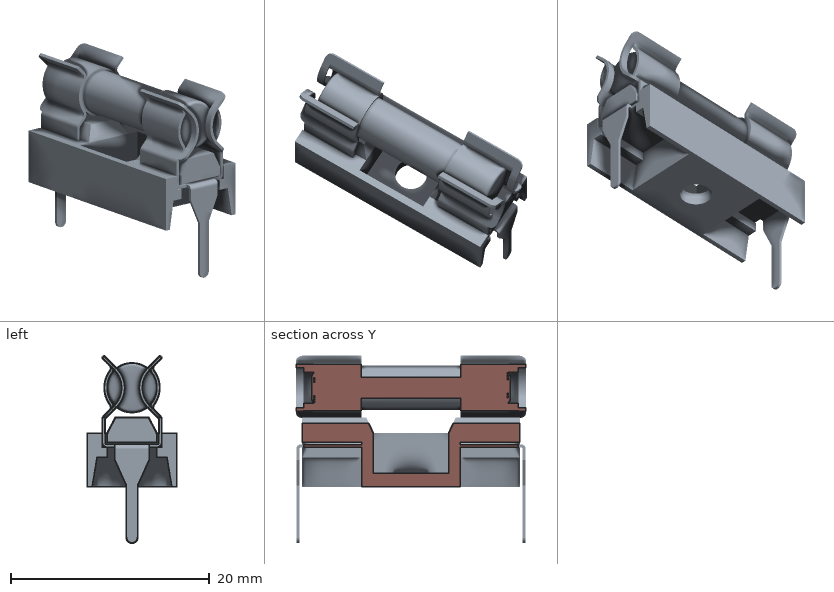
import cadquery as cq
import math

overall_length = 23.15

base_length = 21.9
base_width = 9.0
base_height = 5.42
pocket_side = 7.53
pocket_floor = 1.4
floor_hole_diameter = 3.2

seat_top = 7.0
seat_width = 5.0
seat_top_width = 3.35
seat_slope_run = 0.75
seat_underside = 4.5

recess_height = 2.96
recess_top_width = 7.05
recess_bottom_width = 8.01

fuse_axis_height = 9.98
fuse_length = 20.0
cap_diameter = 5.0
cap_length = 5.0
cap_edge_radius = 0.3
glass_diameter = 4.5

sheet = 0.3
clip_half_width = 3.0
clip_plate_bottom = 3.98
clip_plate_bend = 0.5
clip_wall_bend = 0.55
clip_neck_radius = 0.46
stop_width = 0.76
stop_corner_radius = 0.75
stop_bow_radius = 2.52

leg_outer_x = 11.53
leg_bend_radius = 0.46
leg_wide = 3.47
leg_narrow = 1.15
leg_taper_top = 2.73
leg_taper_bottom = 0.16
leg_drop = 5.65

base_end = base_length / 2
pocket_end = pocket_side / 2
cap_start = fuse_length / 2 - cap_length
clip_start = cap_start
clip_plate_top = clip_plate_bottom + sheet
clip_end = overall_length / 2 - stop_width
cap_radius = cap_diameter / 2
arm_angle = 45
diagonal = math.cos(math.radians(arm_angle))
sheet_step = sheet * diagonal
arm_length = clip_half_width / diagonal


def extrude_x(profile, start, end):
    """Extrude a YZ profile drawn at X = 0 so that it spans start to end."""
    return profile.extrude(end - start).translate((start, 0, 0))


def box_between(x_range, y_width, z_range):
    """Box centred on Y = 0 between the given X and Z limits."""
    size = (x_range[1] - x_range[0], y_width, z_range[1] - z_range[0])
    centre = (sum(x_range) / 2, 0, sum(z_range) / 2)
    return cq.Workplane("XY").box(*size).translate(centre)


def both_sides(solid, plane):
    """Join a solid with its mirror image."""
    return solid.union(solid.mirror(plane))


def around_fuse(radius, angle):
    """Y, Z point at a radius and an angle in degrees about the fuse axis."""
    turn = math.radians(angle)
    return radius * math.cos(turn), fuse_axis_height + radius * math.sin(turn)


def arm_point(distance, side, inner=False):
    """Point on a 45 degree clip arm; side is 1 above the fuse axis, -1 below it."""
    step = sheet_step if inner else 0
    return distance * diagonal - step, fuse_axis_height + side * (distance * diagonal + step)


def round_corner(path, before, corner, after, radius):
    """Run the path to a corner between two points and round it with an arc."""
    here = cq.Vector(*corner)
    back = (cq.Vector(*before) - here).normalized()
    ahead = (cq.Vector(*after) - here).normalized()
    half_angle = back.getAngle(ahead) / 2
    bisector = (back + ahead).normalized()
    run = radius / math.tan(half_angle)
    depth = radius / math.sin(half_angle) - radius
    ends = [here + back * run, here + bisector * depth, here + ahead * run]
    start, middle, end = [(p.x, p.y) for p in ends]
    return path.lineTo(*start).threePointArc(middle, end)


def make_base():
    base = box_between((-base_end, base_end), base_width, (0, base_height))
    seat = make_seat()
    base = base.union(both_sides(seat, "YZ"))
    for cut in (make_clip_slot(), make_recess()):
        base = base.cut(both_sides(cut, "YZ"))
    pocket = box_between((-pocket_end, pocket_end), pocket_side, (pocket_floor, base_height))
    hole = cq.Workplane("XY").circle(floor_hole_diameter / 2).extrude(pocket_floor)
    return base.cut(pocket).cut(hole)


def make_seat():
    """Block with sloping sides and a sloping inner end."""
    across = (
        cq.Workplane("YZ")
        .moveTo(-seat_width / 2, seat_underside)
        .lineTo(-seat_width / 2, base_height)
        .lineTo(-seat_top_width / 2, seat_top)
        .lineTo(seat_top_width / 2, seat_top)
        .lineTo(seat_width / 2, base_height)
        .lineTo(seat_width / 2, seat_underside)
        .close()
    )
    along = (
        cq.Workplane("XZ")
        .moveTo(pocket_end, seat_underside)
        .lineTo(pocket_end, base_height)
        .lineTo(pocket_end + seat_slope_run, seat_top)
        .lineTo(base_end, seat_top)
        .lineTo(base_end, seat_underside)
        .close()
        .extrude(seat_width / 2, both=True)
    )
    return extrude_x(across, pocket_end, base_end).intersect(along)


def make_clip_slot():
    """U-shaped slot around the seat that receives the clip."""
    span = (clip_start, base_end)
    slot = box_between(span, 2 * clip_half_width, (clip_plate_bottom, base_height))
    return slot.cut(box_between(span, seat_width, (seat_underside, base_height)))


def make_recess():
    """Tapered hollow under one end, with an opening up to the clip plate."""
    profile = (
        cq.Workplane("YZ")
        .moveTo(-recess_bottom_width / 2, 0)
        .lineTo(-recess_top_width / 2, recess_height)
        .lineTo(recess_top_width / 2, recess_height)
        .lineTo(recess_bottom_width / 2, 0)
        .close()
    )
    hollow = extrude_x(profile, clip_start, base_end)
    opening = box_between((clip_start, base_end), seat_width, (recess_height, clip_plate_bottom))
    return hollow.union(opening)


def make_fuse():
    axis = cq.Workplane("YZ").center(0, fuse_axis_height)
    glass = axis.circle(glass_diameter / 2).extrude(cap_start, both=True)
    cap = extrude_x(axis.circle(cap_radius), cap_start, fuse_length / 2)
    cap = cap.faces(">X").edges().fillet(cap_edge_radius)
    return glass.union(both_sides(cap, "YZ"))


def make_grip():
    """Base plate, side wall, arm, jaw round the fuse cap and flared lip on the +Y side."""
    outer = cap_radius + sheet
    neck_centre = outer + clip_neck_radius
    neck = math.sqrt(neck_centre**2 - clip_neck_radius**2)
    jaw_angle = arm_angle - math.degrees(math.asin(clip_neck_radius / neck_centre))
    neck_y, neck_z = around_fuse(neck_centre, jaw_angle)
    neck_rise = neck_z - fuse_axis_height
    neck_turn = math.radians((jaw_angle + 180 + arm_angle + 90) / 2)

    def neck_middle(radius, side):
        y = neck_y + radius * math.cos(neck_turn)
        z = neck_rise + radius * math.sin(neck_turn)
        return y, fuse_axis_height + side * z

    inner_neck = clip_neck_radius + sheet
    wall_y = clip_half_width - sheet
    outer_bend = (clip_half_width, fuse_axis_height - clip_half_width)
    inner_bend = (wall_y, fuse_axis_height - wall_y - 2 * sheet_step)
    outer_corner = (clip_half_width, clip_plate_bottom)
    inner_corner = (wall_y, clip_plate_top)

    path = cq.Workplane("YZ").moveTo(0, clip_plate_bottom)
    path = round_corner(path, (0, clip_plate_bottom), outer_corner, outer_bend, clip_plate_bend)
    path = round_corner(path, outer_corner, outer_bend, arm_point(neck, -1), clip_wall_bend)
    path = (
        path.lineTo(*arm_point(neck, -1))
        .threePointArc(neck_middle(clip_neck_radius, -1), around_fuse(outer, -jaw_angle))
        .threePointArc(around_fuse(outer, 0), around_fuse(outer, jaw_angle))
        .threePointArc(neck_middle(clip_neck_radius, 1), arm_point(neck, 1))
        .lineTo(*arm_point(arm_length, 1))
        .lineTo(*arm_point(arm_length, 1, inner=True))
        .lineTo(*arm_point(neck, 1, inner=True))
        .threePointArc(neck_middle(inner_neck, 1), around_fuse(cap_radius, jaw_angle))
        .threePointArc(around_fuse(cap_radius, 0), around_fuse(cap_radius, -jaw_angle))
        .threePointArc(neck_middle(inner_neck, -1), arm_point(neck, -1, inner=True))
    )
    inner_arm = arm_point(neck, -1, inner=True)
    path = round_corner(path, inner_arm, inner_bend, inner_corner, clip_wall_bend - sheet)
    path = round_corner(path, inner_bend, inner_corner, (0, clip_plate_top), clip_plate_bend - sheet)
    return extrude_x(path.lineTo(0, clip_plate_top).close(), clip_start, clip_end)


def make_stop():
    """Outer strip of the clip on the +Y side, bowed inward past the end of the fuse."""
    foot = arm_length - clip_wall_bend * math.tan(math.radians(arm_angle / 2))
    bow_y = stop_bow_radius / diagonal - stop_bow_radius
    profile = (
        cq.Workplane("YZ")
        .moveTo(*arm_point(foot, -1))
        .lineTo(*arm_point(stop_bow_radius, -1))
        .threePointArc((bow_y, fuse_axis_height), arm_point(stop_bow_radius, 1))
        .lineTo(*arm_point(arm_length, 1))
        .lineTo(*arm_point(arm_length, 1, inner=True))
        .lineTo(*arm_point(stop_bow_radius, 1, inner=True))
        .threePointArc((bow_y - sheet, fuse_axis_height), arm_point(stop_bow_radius, -1, inner=True))
        .lineTo(*arm_point(foot, -1, inner=True))
        .close()
    )
    stop = extrude_x(profile, clip_end, overall_length / 2)
    for end_edge in ("<Z", ">Z"):
        stop = stop.faces(">X").edges(end_edge).fillet(stop_corner_radius)
    return stop


def make_leg():
    """Tongue bent down from the clip plate, tapered to a narrow round-tipped pin."""
    bend_x = leg_outer_x - leg_bend_radius
    bend_z = clip_plate_top - leg_bend_radius
    inner_bend = leg_bend_radius - sheet
    strip = (
        cq.Workplane("XZ")
        .moveTo(clip_end, clip_plate_top)
        .lineTo(bend_x, clip_plate_top)
        .radiusArc((leg_outer_x, bend_z), leg_bend_radius)
        .lineTo(leg_outer_x, -leg_drop)
        .lineTo(leg_outer_x - sheet, -leg_drop)
        .lineTo(leg_outer_x - sheet, bend_z)
        .radiusArc((bend_x, clip_plate_bottom), -inner_bend)
        .lineTo(clip_end, clip_plate_bottom)
        .close()
        .extrude(leg_wide / 2, both=True)
    )
    pin = leg_narrow / 2
    outline = (
        cq.Workplane("YZ")
        .moveTo(-leg_wide / 2, clip_plate_top)
        .lineTo(-leg_wide / 2, leg_taper_top)
        .lineTo(-pin, leg_taper_bottom)
        .lineTo(-pin, pin - leg_drop)
        .threePointArc((0, -leg_drop), (pin, pin - leg_drop))
        .lineTo(pin, leg_taper_bottom)
        .lineTo(leg_wide / 2, leg_taper_top)
        .lineTo(leg_wide / 2, clip_plate_top)
        .close()
    )
    return strip.intersect(extrude_x(outline, clip_end, leg_outer_x))


def make_clip():
    half = make_grip().union(make_stop())
    return both_sides(half, "XZ").union(make_leg())


result = make_base().union(both_sides(make_clip(), "YZ")).union(make_fuse())